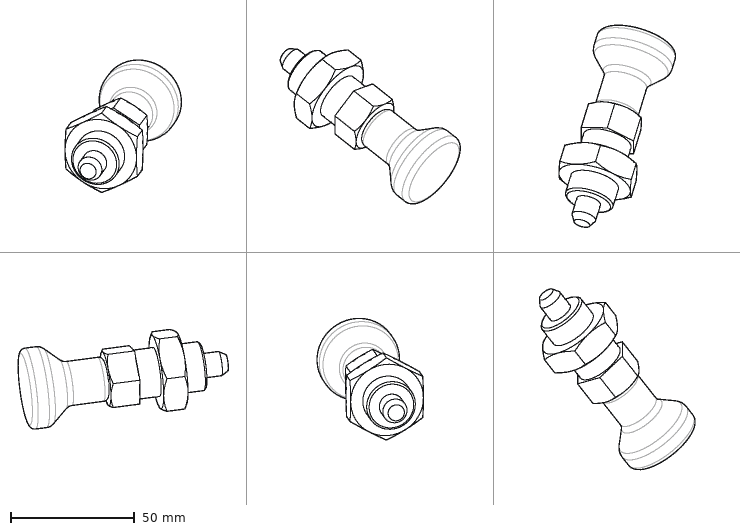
import cadquery as cq
import math


total_length = 83
pin_length = 10.05
nut_start = 19.0
nut_thickness = 10.05
collar_start = 38.0
collar_end = 50.0
neck_end = 66.5
rim_start = 74.9

pin_diameter = 10
body_diameter = 20.0
neck_diameter = 18.0
rim_diameter = 33.0

nut_flats = 30.0
collar_flats = 22.0

pin_taper_length = 2.8
pin_taper_angle = 30
body_chamfer = 0.8
knob_edge_radius = 2.0
knob_cone_radius = 4.0
hex_chamfer_angle = 30


def revolve_profile(points):
    """Revolve a closed (radius, position) outline about the Y axis."""
    return cq.Workplane("XY").polyline(points).close().revolve(360, (0, 0, 0), (0, 1, 0))


def hex_block(flats, start, end, chamfer_start):
    """Hexagon with corners on +Z and -Z, its corners cut by a cone at one or both ends."""
    corner_radius = flats / 2 / math.cos(math.radians(30))
    corner_angles = [math.radians(90 + 60 * i) for i in range(6)]
    corners = [(corner_radius * math.cos(a), corner_radius * math.sin(a)) for a in corner_angles]
    prism = (
        cq.Workplane("XZ", origin=(0, start, 0))
        .polyline(corners)
        .close()
        .extrude(start - end)
    )

    face_radius = flats / 2
    cone_depth = (corner_radius - face_radius) * math.tan(math.radians(hex_chamfer_angle))
    if chamfer_start:
        start_outline = [(0, start), (face_radius, start), (corner_radius, start + cone_depth)]
    else:
        start_outline = [(0, start), (corner_radius, start)]
    end_outline = [(corner_radius, end - cone_depth), (face_radius, end), (0, end)]
    return prism.intersect(revolve_profile(start_outline + end_outline))


def stepped_body():
    """Tapered pin and the chamfered cylindrical body behind it."""
    pin_radius = pin_diameter / 2
    tip_radius = pin_radius - pin_taper_length * math.tan(math.radians(pin_taper_angle))
    body_radius = body_diameter / 2
    return revolve_profile([
        (0, 0),
        (tip_radius, 0),
        (pin_radius, pin_taper_length),
        (pin_radius, pin_length),
        (body_radius - body_chamfer, pin_length),
        (body_radius, pin_length + body_chamfer),
        (body_radius, collar_end),
        (0, collar_end),
    ])


def knob():
    """Neck, cone and rim, rounded at every circular edge."""
    neck_radius = neck_diameter / 2
    rim_radius = rim_diameter / 2
    blank = revolve_profile([
        (0, collar_end),
        (neck_radius, collar_end),
        (neck_radius, neck_end),
        (rim_radius, rim_start),
        (rim_radius, total_length),
        (0, total_length),
    ])
    rounded_ends = blank.faces("<Y or >Y").edges().fillet(knob_edge_radius)
    cone_edges = rounded_ends.faces("%CONE").edges("%CIRCLE")
    return cone_edges.fillet(knob_cone_radius)


nut = hex_block(nut_flats, nut_start, nut_start + nut_thickness, chamfer_start=True)
collar = hex_block(collar_flats, collar_start, collar_end, chamfer_start=False)

result = stepped_body().union(nut).union(collar).union(knob())